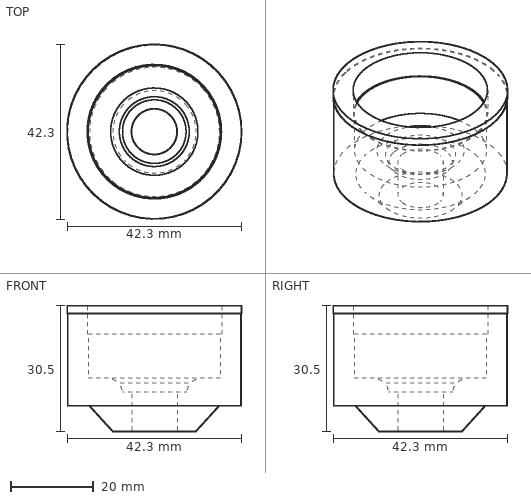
import cadquery as cq
import math

rim_diameter = 42.3
rim_height = 2.0
body_diameter = 42.0
body_height = 24.3
total_height = 30.5
nose_base_diameter = 31.4
nose_tip_diameter = 20.05

mouth_diameter = 32.53
mouth_depth = 6.75
cup_diameter = 31.98
cup_depth = 17.45
funnel_top_diameter = 21.15
funnel_bottom_diameter = 16.9
funnel_slope = 30.0
seat_wall_depth = 2.1
seat_diameter = 15.4
bore_diameter = 11.0

body_bottom = total_height - body_height
rim_bottom = total_height - rim_height
rim_chamfer = (rim_diameter - body_diameter) / 2
mouth_bottom = total_height - mouth_depth
cup_floor = total_height - cup_depth
funnel_depth = (funnel_top_diameter - funnel_bottom_diameter) / 2 * math.tan(math.radians(funnel_slope))
funnel_bottom = cup_floor - funnel_depth
seat_level = funnel_bottom - seat_wall_depth

section = [
    (bore_diameter, 0),
    (nose_tip_diameter, 0),
    (nose_base_diameter, body_bottom),
    (body_diameter, body_bottom),
    (body_diameter, rim_bottom),
    (rim_diameter, rim_bottom + rim_chamfer),
    (rim_diameter, total_height),
    (mouth_diameter, total_height),
    (mouth_diameter, mouth_bottom),
    (cup_diameter, mouth_bottom),
    (cup_diameter, cup_floor),
    (funnel_top_diameter, cup_floor),
    (funnel_bottom_diameter, funnel_bottom),
    (seat_diameter, seat_level),
    (bore_diameter, seat_level),
]
half_section = [(diameter / 2, z) for diameter, z in section]

result = cq.Workplane("XZ").polyline(half_section).close().revolve(360, (0, 0), (0, 1))